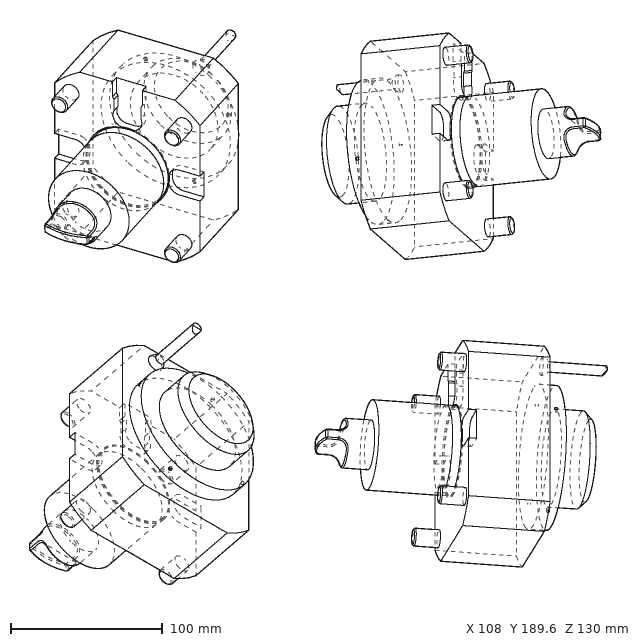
import cadquery as cq
import math


BLOCK_WIDTH = 108.0
BLOCK_HEIGHT = 130.0
BLOCK_DEPTH = 55.0
CORNER_RADIUS = 74.0

SLOT_DEPTH = 5.5
SLOT_WIDTH = 20.0
SLOT_CORNER_RADIUS = 8.0
SLOT_END = 30.7
TOP_SLOT_RELIEF = 0.8
TOP_SLOT_MOUTH_WIDTH = 22.2
MOUTH_START = 53.0
MOUTH_TAPER = 1.7

PIN_DIAMETER = 12.0
PIN_LENGTH = 17.3
PIN_CHAMFER = 1.0
PIN_SPACING_X = 83.8
PIN_SPACING_Z = 93.7

COLLAR_DIAMETER = 96.0
COLLAR_LENGTH = 12.1
COLLAR_HOLE_DIAMETER = 2.0
COLLAR_HOLE_DEPTH = 1.9
COLLAR_HOLE_OFFSET = 6.0
COLLAR_HOLE_COUNT = 4
COLLAR_HOLE_START = -22.5
CHUCK_DIAMETER = 65.0
CHUCK_LENGTH = 24.5
CHUCK_CHAMFER = 5.1

ROD_DIAMETER = 7.0
ROD_LENGTH = 43.6
ROD_X = 26.0
ROD_Z = 54.0
ROD_TIP_CUT = 3.0
DOME_RADIUS = 5.9
ROD_EMBED = 1.9

NOSE_DIAMETER = 60.0
NOSE_LENGTH = 55.4
LAND_STEP = 0.05
LAND_END = 5.7
CONE_START = 1.7
CONE_END = 2.8
NECK_DIAMETER = 59.5
RECESS_DIAMETER = 2 * SLOT_END
RECESS_DEPTH = 1.0

SHANK_DIAMETER = 33.0
SHANK_LENGTH = 18.2
SHOULDER_Y = -(NOSE_LENGTH + SHANK_LENGTH)
TANG_THICKNESS = 7.0
TANG_FILLET = 6.0
TANG_TIP = 91.0
TANG_END_RADIUS = 43.6
TANG_CHAMFER = 1.0


def cylinder(diameter, start, end, x=0.0, z=0.0):
    """Cylinder along Y between two Y positions."""
    plane = cq.Plane(origin=(x, start, z), xDir=(1, 0, 0), normal=(0, 1, 0))
    return cq.Workplane(plane).circle(diameter / 2).extrude(end - start)


def slot_cutter(outline):
    """Turn an outline drawn on the front face into a slot cutter."""
    return outline.close().extrude(-SLOT_DEPTH)


def side_slot(side):
    half = SLOT_WIDTH / 2
    outer = BLOCK_WIDTH / 2
    straight_end = SLOT_END + SLOT_CORNER_RADIUS
    bend = SLOT_CORNER_RADIUS * (1 - math.sqrt(0.5))
    flat = half - SLOT_CORNER_RADIUS
    return slot_cutter(
        cq.Workplane("XZ")
        .moveTo(side * outer, -half)
        .lineTo(side * straight_end, -half)
        .threePointArc((side * (SLOT_END + bend), bend - half), (side * SLOT_END, -flat))
        .lineTo(side * SLOT_END, flat)
        .threePointArc((side * (SLOT_END + bend), half - bend), (side * straight_end, half))
        .lineTo(side * outer, half)
    )


def top_slot():
    half = SLOT_WIDTH / 2
    mouth = TOP_SLOT_MOUTH_WIDTH / 2
    outer = BLOCK_HEIGHT / 2
    flat = half + TOP_SLOT_RELIEF - SLOT_CORNER_RADIUS
    centre_z = SLOT_END + SLOT_CORNER_RADIUS
    arc_start = centre_z + math.sqrt(SLOT_CORNER_RADIUS**2 - (half - flat) ** 2)
    arc_x = flat + SLOT_CORNER_RADIUS * math.sqrt(0.5)
    arc_z = centre_z - SLOT_CORNER_RADIUS * math.sqrt(0.5)
    return slot_cutter(
        cq.Workplane("XZ")
        .moveTo(mouth, outer)
        .lineTo(mouth, MOUTH_START)
        .lineTo(half, MOUTH_START - MOUTH_TAPER)
        .lineTo(half, arc_start)
        .threePointArc((arc_x, arc_z), (flat, SLOT_END))
        .lineTo(-flat, SLOT_END)
        .threePointArc((-arc_x, arc_z), (-half, arc_start))
        .lineTo(-half, MOUTH_START - MOUTH_TAPER)
        .lineTo(-mouth, MOUTH_START)
        .lineTo(-mouth, outer)
    )


def block():
    body = cq.Workplane("XZ").rect(BLOCK_WIDTH, BLOCK_HEIGHT).extrude(-BLOCK_DEPTH)
    body = body.intersect(cylinder(2 * CORNER_RADIUS, 0, BLOCK_DEPTH))
    body = body.cut(side_slot(-1)).cut(side_slot(1)).cut(top_slot())
    return body.cut(cylinder(RECESS_DIAMETER, 0, RECESS_DEPTH))


def pins():
    return (
        cq.Workplane("XZ")
        .rect(PIN_SPACING_X, PIN_SPACING_Z, forConstruction=True)
        .vertices()
        .circle(PIN_DIAMETER / 2)
        .extrude(PIN_LENGTH)
        .faces("<Y")
        .chamfer(PIN_CHAMFER)
    )


def collar():
    body = cylinder(COLLAR_DIAMETER, BLOCK_DEPTH, BLOCK_DEPTH + COLLAR_LENGTH)
    hole = (
        cq.Workplane("YZ", origin=(COLLAR_DIAMETER / 2 - COLLAR_HOLE_DEPTH, 0, 0))
        .center(BLOCK_DEPTH + COLLAR_HOLE_OFFSET, 0)
        .circle(COLLAR_HOLE_DIAMETER / 2)
        .extrude(2 * COLLAR_HOLE_DEPTH)
    )
    for i in range(COLLAR_HOLE_COUNT):
        angle = COLLAR_HOLE_START + i * 360 / COLLAR_HOLE_COUNT
        body = body.cut(hole.rotate((0, 0, 0), (0, 1, 0), angle))
    return body


def chuck():
    start = BLOCK_DEPTH + COLLAR_LENGTH
    end = start + CHUCK_LENGTH
    radius = CHUCK_DIAMETER / 2
    return (
        cq.Workplane("XY")
        .moveTo(0, start)
        .lineTo(radius, start)
        .lineTo(radius, end - CHUCK_CHAMFER)
        .lineTo(radius - CHUCK_CHAMFER, end)
        .lineTo(0, end)
        .close()
        .revolve(360, (0, 0, 0), (0, 1, 0))
    )


def coolant_rod():
    """Round rod rising out of a domed foot, with its tip cut at a slant underneath."""
    radius = ROD_DIAMETER / 2
    dome_height = math.sqrt(DOME_RADIUS**2 - radius**2)
    middle = DOME_RADIUS * math.sqrt(0.5)
    rod = (
        cq.Workplane("XY")
        .moveTo(0, -ROD_EMBED)
        .lineTo(DOME_RADIUS, -ROD_EMBED)
        .lineTo(DOME_RADIUS, 0)
        .threePointArc((middle, middle), (radius, dome_height))
        .lineTo(radius, ROD_LENGTH)
        .lineTo(0, ROD_LENGTH)
        .close()
        .revolve(360, (0, 0, 0), (0, 1, 0))
    )
    tip_cut = (
        cq.Workplane("YZ")
        .moveTo(ROD_LENGTH, -radius)
        .lineTo(ROD_LENGTH - ROD_TIP_CUT, -radius)
        .lineTo(ROD_LENGTH, ROD_TIP_CUT - radius)
        .close()
        .extrude(ROD_DIAMETER, both=True)
    )
    return rod.cut(tip_cut).translate((ROD_X, BLOCK_DEPTH, ROD_Z))


def nose():
    """Cylindrical nose with a narrower land, a short cone and a neck next to the block."""
    nose_radius = NOSE_DIAMETER / 2
    land_radius = nose_radius - LAND_STEP
    neck_radius = NECK_DIAMETER / 2
    return (
        cq.Workplane("XY")
        .moveTo(0, -NOSE_LENGTH)
        .lineTo(nose_radius, -NOSE_LENGTH)
        .lineTo(nose_radius, -LAND_END)
        .lineTo(land_radius, -LAND_END)
        .lineTo(land_radius, -CONE_END)
        .lineTo(neck_radius, -CONE_START)
        .lineTo(neck_radius, RECESS_DEPTH)
        .lineTo(0, RECESS_DEPTH)
        .close()
        .revolve(360, (0, 0, 0), (0, 1, 0))
    )


def tang_relief(side):
    """Material removed above or below the tang, with a concave root."""
    face = TANG_THICKNESS / 2
    bend = TANG_FILLET * (1 - math.sqrt(0.5))
    return (
        cq.Workplane("YZ")
        .moveTo(-TANG_TIP, side * face)
        .lineTo(SHOULDER_Y - TANG_FILLET, side * face)
        .threePointArc(
            (SHOULDER_Y - bend, side * (face + bend)),
            (SHOULDER_Y, side * (face + TANG_FILLET)),
        )
        .lineTo(SHOULDER_Y, side * SHANK_DIAMETER)
        .lineTo(-TANG_TIP, side * SHANK_DIAMETER)
        .close()
        .extrude(SHANK_DIAMETER, both=True)
    )


def shank():
    body = cylinder(SHANK_DIAMETER, -TANG_TIP, -NOSE_LENGTH)
    end_round = (
        cq.Workplane("XY", origin=(0, TANG_END_RADIUS - TANG_TIP, 0))
        .circle(TANG_END_RADIUS)
        .extrude(SHANK_DIAMETER, both=True)
    )
    body = body.intersect(end_round)
    for side in (-1, 1):
        body = body.cut(tang_relief(side))
    around_tang = cq.selectors.BoxSelector(
        (-SHANK_DIAMETER, -TANG_TIP - TANG_CHAMFER, -SHANK_DIAMETER),
        (SHANK_DIAMETER, SHOULDER_Y + TANG_CHAMFER, SHANK_DIAMETER),
    )
    return body.edges(around_tang).edges("not |X").chamfer(TANG_CHAMFER)


result = (
    block()
    .union(pins())
    .union(collar())
    .union(chuck())
    .union(coolant_rod())
    .union(nose())
    .union(shank())
)